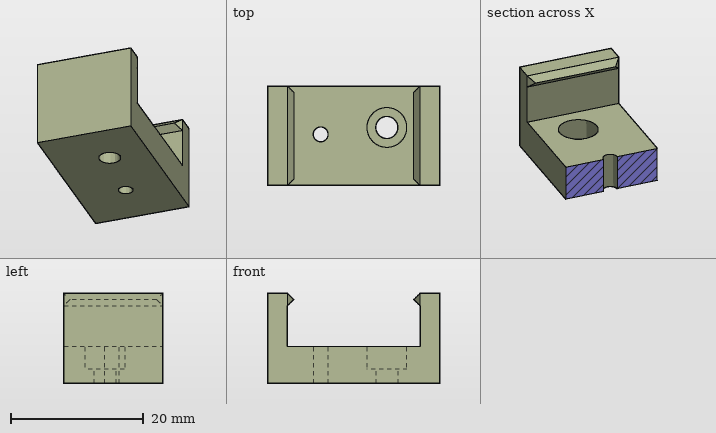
import cadquery as cq

length = 26.0
depth = 15.0
height = 13.6
wall = 3.0
floor = 5.6
inner_half = length / 2 - wall

ridge_reach = 0.95
ridge_height = 2 * ridge_reach

hole_offset = 5.0
pin_diameter = 2.2
pin_y = 0.2
screw_diameter = 3.3
screw_y = 1.25
counterbore_diameter = 6.0
counterbore_depth = 3.4


def channel():
    """U-shaped block with its base on Z = 0."""
    block = cq.Workplane("XY").box(length, depth, height, centered=(True, True, False))
    opening = (
        cq.Workplane("XY", origin=(0, 0, floor))
        .rect(2 * inner_half, depth)
        .extrude(height - floor)
    )
    return block.cut(opening)


def ridge(side):
    """Ridge with 45 degree flanks and hipped ends, on the wall at side = -1 or +1."""
    face_x = side * inner_half
    crest_x = face_x - side * ridge_reach
    middle_z = height - ridge_reach
    along_wall = (
        cq.Workplane("XZ", origin=(0, depth / 2, 0))
        .polyline([(face_x, height), (crest_x, middle_z), (face_x, height - ridge_height)])
        .close()
        .extrude(depth)
    )
    hipped_ends = (
        cq.Workplane("XY")
        .polyline([
            (face_x, -depth / 2),
            (crest_x, -depth / 2 + ridge_reach),
            (crest_x, depth / 2 - ridge_reach),
            (face_x, depth / 2),
        ])
        .close()
        .extrude(height)
    )
    return along_wall.intersect(hipped_ends)


def hole(x, y, diameter, drill_depth):
    """Vertical hole drilled down from the floor surface."""
    return (
        cq.Workplane("XY", origin=(x, y, floor))
        .circle(diameter / 2)
        .extrude(-drill_depth)
    )


result = channel()
for side in (-1, 1):
    result = result.union(ridge(side))

result = result.cut(hole(-hole_offset, pin_y, pin_diameter, floor))
result = result.cut(hole(hole_offset, screw_y, screw_diameter, floor))
result = result.cut(hole(hole_offset, screw_y, counterbore_diameter, counterbore_depth))